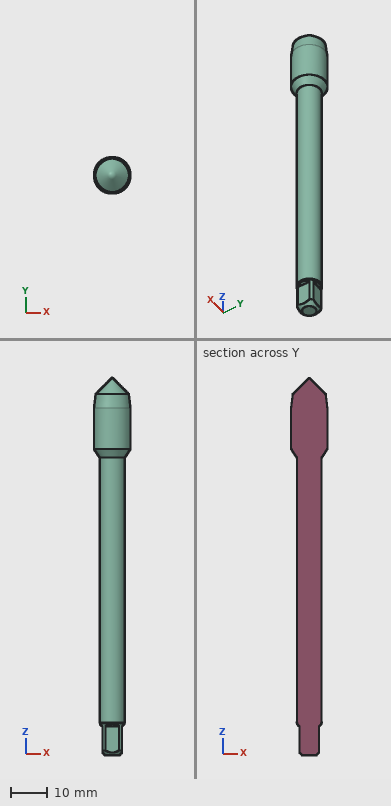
import cadquery as cq
import math

TOTAL_LENGTH = 104.59
BODY_DIAMETER = 10.17
LEAD_TIP_DIAMETER = 9.25
SHANK_DIAMETER = 7.0
CORNER_DIAMETER = 6.72
SQUARE_ACROSS_FLATS = 5.5
SQUARE_END_DIAMETER = 4.0

FLAT_LENGTH = 8.0
CORNER_LENGTH = 8.8
LEAD_LENGTH = 3.8
BODY_LENGTH = 11.4
NECK_LENGTH = 2.4
SHANK_BEVEL_ANGLE = 30

BODY_RADIUS = BODY_DIAMETER / 2
LEAD_TIP_RADIUS = LEAD_TIP_DIAMETER / 2
SHANK_RADIUS = SHANK_DIAMETER / 2
CORNER_RADIUS = CORNER_DIAMETER / 2
SQUARE_END_RADIUS = SQUARE_END_DIAMETER / 2

POINT_LENGTH = LEAD_TIP_RADIUS
END_CHAMFER = CORNER_RADIUS - SQUARE_END_RADIUS
FLAT_RUNOUT = SHANK_RADIUS - SQUARE_ACROSS_FLATS / 2
SHANK_BEVEL = (SHANK_RADIUS - CORNER_RADIUS) / math.tan(math.radians(SHANK_BEVEL_ANGLE))

SHANK_BOTTOM = CORNER_LENGTH + SHANK_BEVEL
LEAD_TOP = TOTAL_LENGTH - POINT_LENGTH
BODY_TOP = LEAD_TOP - LEAD_LENGTH
BODY_BOTTOM = BODY_TOP - BODY_LENGTH
SHANK_TOP = BODY_BOTTOM - NECK_LENGTH


def turned_blank():
    """Revolve the half profile, from the square end up to the point."""
    profile = [
        (0, 0),
        (SQUARE_END_RADIUS, 0),
        (CORNER_RADIUS, END_CHAMFER),
        (CORNER_RADIUS, CORNER_LENGTH),
        (SHANK_RADIUS, SHANK_BOTTOM),
        (SHANK_RADIUS, SHANK_TOP),
        (BODY_RADIUS, BODY_BOTTOM),
        (BODY_RADIUS, BODY_TOP),
        (LEAD_TIP_RADIUS, LEAD_TOP),
        (0, TOTAL_LENGTH),
    ]
    return cq.Workplane("XZ").polyline(profile).close().revolve(360, (0, 0), (0, 1))


def square_waste():
    """Material outside the drive square; the flats run out at 45 degrees at the top."""
    square = cq.Workplane("XY").rect(SQUARE_ACROSS_FLATS, SQUARE_ACROSS_FLATS).extrude(FLAT_LENGTH)
    flare = (
        square.faces(">Z")
        .workplane()
        .rect(SQUARE_ACROSS_FLATS, SQUARE_ACROSS_FLATS)
        .workplane(offset=FLAT_RUNOUT)
        .rect(SHANK_DIAMETER, SHANK_DIAMETER)
        .loft(ruled=True, combine=False)
    )
    envelope = cq.Workplane("XY").circle(BODY_RADIUS).extrude(FLAT_LENGTH + FLAT_RUNOUT)
    return envelope.cut(square).cut(flare)


result = turned_blank().cut(square_waste())